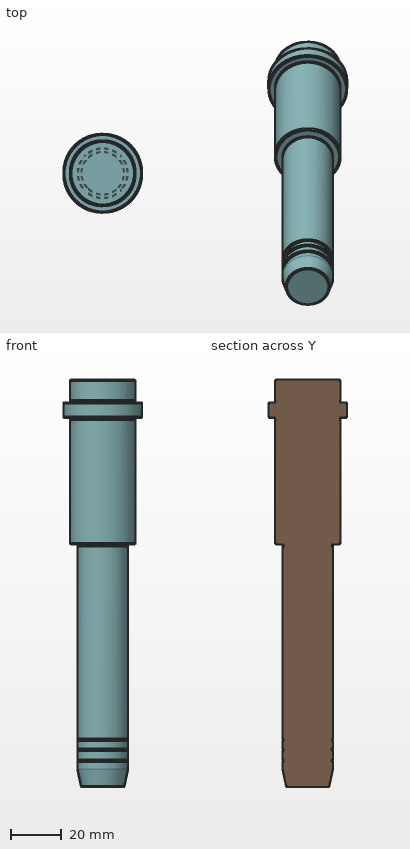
import cadquery as cq

length = 160.0
collar_diameter = 31.0
body_diameter = 26.0
pin_diameter = 20.0

body_bottom = 95.2
collar_bottom = 145.0
collar_thickness = 6.0
collar_top = collar_bottom + collar_thickness

body_chamfer = 0.6
collar_chamfer = 0.5
collar_relief_width = 1.0
neck_height = 0.8
collar_relief_depth = 0.2
neck_depth = 0.3

taper_height = 7.0
tip_diameter = 17.0
tip_chamfer = 0.3

ring_groove_heights = (10.4, 14.7, 18.5)
ring_groove_width = 1.0
ring_groove_depth = 0.5


def cylinder(diameter, bottom, top):
    """Solid cylinder on the Z axis between two heights."""
    return cq.Workplane("XY").workplane(offset=bottom).circle(diameter / 2).extrude(top - bottom)


def v_ring(shaft_diameter, bottom, width, depth):
    """V-section ring that cuts a groove into a shaft."""
    radius = shaft_diameter / 2
    section = [(radius, bottom), (radius - depth, bottom + width / 2), (radius, bottom + width)]
    return cq.Workplane("XZ").polyline(section).close().revolve(360, (0, 0, 0), (0, 1, 0))


tip = (
    cq.Workplane("XY")
    .circle(tip_diameter / 2)
    .workplane(offset=taper_height)
    .circle(pin_diameter / 2)
    .loft(ruled=True)
    .faces("<Z")
    .chamfer(tip_chamfer)
)

neck_bottom = body_bottom - neck_height
pin = cylinder(pin_diameter, taper_height, neck_bottom)
neck = cylinder(pin_diameter - 2 * neck_depth, neck_bottom, body_bottom)

body = cylinder(body_diameter, body_bottom, length).faces("<Z or >Z").chamfer(body_chamfer)
collar = cylinder(collar_diameter, collar_bottom, collar_top).faces("<Z or >Z").chamfer(collar_chamfer)

for bottom in (collar_bottom - collar_relief_width, collar_top):
    body = body.cut(v_ring(body_diameter, bottom, collar_relief_width, collar_relief_depth))

for height in ring_groove_heights:
    bottom = height - ring_groove_width / 2
    pin = pin.cut(v_ring(pin_diameter, bottom, ring_groove_width, ring_groove_depth))

result = tip.union(pin).union(neck).union(body).union(collar)